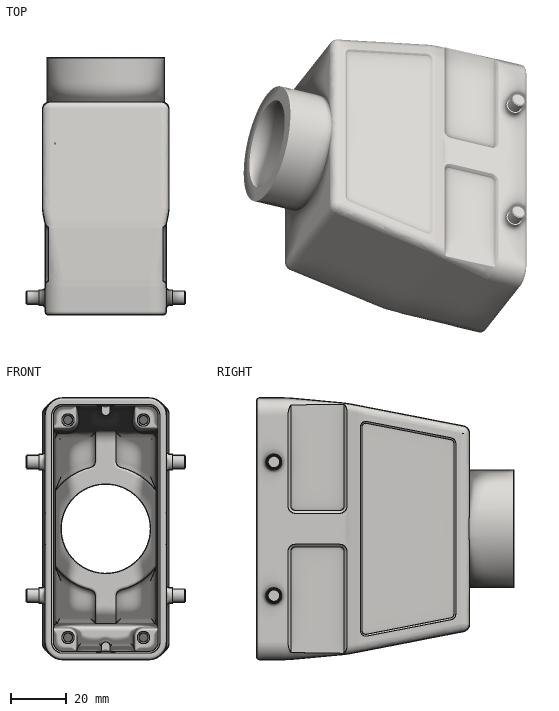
import cadquery as cq
import math


rim_half_x = 21.6
rim_half_z = 46.85
rim_corner = 6.2
bend_y = 11.2
waist_y = 32.3
waist_half_z = 44.9
flare_y = 37.3
back_y = 76.2
back_half_x = 22.7
back_half_z = 36.4
back_corner = 2.8
bend_blend = 1.4
flare_blend = 0.9
back_fillet = 2.8
rim_fillet = 1.1

collar_diameter = 42.2
collar_end_y = 92.0
bore_diameter = 31.9

wall = 2.7
mouth_half_x = 18.7
floor_half_x = 17.9
mouth_half_z = 43.85
mouth_corner = 3.5
mouth_chamfer = 0.7
floor_y = 73.5
floor_corner = 2.1
floor_fillet = 1.9

island_y = 70.3
island_ring_radius = 22.6
island_rib_width = 7.3
island_inner_fillet = 2.3
island_top_fillet = 0.9

post_y = 9.4
post_inner_x = 10.5
post_inner_z = 35.8
post_draft = 1.5
post_front_fillet = 0.75
screw_x = 13.5
screw_z = 38.9
screw_diameter = 3.2
screw_countersink_diameter = 4.4
screw_depth = 14.1
post_corner = screw_x - post_inner_x

block_y = 33.9
block_front_z = -34.95
block_floor_z = -33.8
block_edge_fillet = 1.7
block_root_fillet = 0.9

key_width = 3.2
key_tip_z = 40.5
scoop_radius = 11.2
scoop_rise = 0.7

pin_span = 57.0
pin_diameter = 4.9
pin_y = 6.2
pin_z = 23.9
pin_chamfer = 0.4
shoulder_diameter = 5.6
shoulder_end_x = 23.9
shoulder_fillet = 1.1

grip_depth = 1.2
grip_inner_z = 5.5
grip_corner = 1.6
grip_draft = 40.0
panel_depth = 0.5
panel_front_y = 37.7
panel_back_y = 70.6
panel_margin_z = 5.8
panel_corner = 1.4
panel_draft = 55.0


def blend(start, end, fraction):
    return start + (end - start) * fraction


def upper_half_z(y):
    """Half height of the outside between the waist and the back."""
    return blend(waist_half_z, back_half_z, (y - waist_y) / (back_y - waist_y))


def lower_half_z(y):
    """Half height of the outside between the rim band and the waist."""
    return blend(rim_half_z, waist_half_z, (y - bend_y) / (waist_y - bend_y))


def flare_half_x(y):
    """Half width of the outside between the waist and the flare."""
    return blend(rim_half_x, back_half_x, (y - waist_y) / (flare_y - waist_y))


def loft(sections):
    """Ruled solid through rounded rectangles given as (y, half_x, half_z, corner)."""
    wires = []
    for y, half_x, half_z, corner in sections:
        outline = cq.Workplane("XZ", origin=(0, y, 0)).rect(2 * half_x, 2 * half_z).wire().val()
        wires.append(outline.fillet2D(corner, outline.Vertices()))
    return cq.Workplane(cq.Solid.makeLoft(wires, True))


def mirrored(solid):
    """The solid together with its mirror images in X and in Z."""
    pair = solid.union(solid.mirror("YZ"))
    return pair.union(pair.mirror("XY"))


def edges_at(y, half_x, half_z):
    """Selector for the edges centred in a central window of the plane at depth y."""
    gap = 0.01
    return cq.selectors.BoxSelector((-half_x, y - gap, -half_z), (half_x, y + gap, half_z))


def hood():
    """Solid outside of the hood; each bend is softened by a narrow facet."""
    slope_start = bend_y + bend_blend
    slope_end = waist_y - bend_blend
    waist_end = waist_y + bend_blend
    flare_start = flare_y - flare_blend
    flare_end = flare_y + flare_blend
    waist_facet_z = (lower_half_z(slope_end) + upper_half_z(waist_end)) / 2
    body = loft([
        (0, rim_half_x, rim_half_z, rim_corner),
        (bend_y - bend_blend, rim_half_x, rim_half_z, rim_corner),
        (slope_start, rim_half_x, lower_half_z(slope_start), rim_corner),
        (slope_end, rim_half_x, lower_half_z(slope_end), back_corner),
        (waist_y, rim_half_x, waist_facet_z, back_corner),
        (waist_end, flare_half_x(waist_end), upper_half_z(waist_end), back_corner),
        (flare_start, flare_half_x(flare_start), upper_half_z(flare_start), back_corner),
        (flare_end, back_half_x, upper_half_z(flare_end), back_corner),
        (back_y, back_half_x, back_half_z, back_corner),
    ])
    body = body.faces(">Y").edges().fillet(back_fillet)
    body = body.faces("<Y").edges().fillet(rim_fillet)
    collar_length = collar_end_y - floor_y
    collar = cq.Workplane("XZ", origin=(0, floor_y, 0)).circle(collar_diameter / 2).extrude(-collar_length)
    return body.union(collar)


def island():
    """Raised ring and vertical rib around the bore, in front of the cavity floor."""
    plane = cq.Workplane("XZ", origin=(0, island_y, 0))
    depth = floor_y - island_y
    ring = plane.circle(island_ring_radius).extrude(-depth)
    rib = plane.rect(island_rib_width, 2 * rim_half_z).extrude(-depth)
    reach = island_ring_radius + 0.9
    joints = cq.selectors.BoxSelector(
        (-island_rib_width, 0, -reach), (island_rib_width, back_y, reach)
    )
    return ring.union(rib).edges("|Y").edges(joints).fillet(island_inner_fillet)


def cavity_space():
    """Empty inside of the hood with the rounded floor and island."""
    space = loft([
        (0, mouth_half_x + mouth_chamfer, mouth_half_z + mouth_chamfer, mouth_corner + mouth_chamfer),
        (mouth_chamfer, mouth_half_x, mouth_half_z, mouth_corner),
        (post_y, mouth_half_x, mouth_half_z, mouth_corner),
        (waist_y, mouth_half_x, waist_half_z - wall, mouth_corner),
        (floor_y, floor_half_x, upper_half_z(floor_y) - wall, floor_corner),
    ])
    space = space.cut(island())
    space = space.faces(">Y").edges().fillet(floor_fillet)
    top_rim = space.edges(edges_at(island_y, floor_half_x - 0.9, upper_half_z(island_y)))
    return top_rim.fillet(island_top_fillet)


def post():
    """Tapered corner post rounded about the screw; its outer sides lie beyond the cavity."""
    width = rim_half_x
    height = rim_half_z - post_inner_z + post_corner
    outline = cq.Sketch().rect(width, height).vertices().fillet(post_corner)
    center = (post_inner_x + width / 2, post_y, post_inner_z + height / 2)
    body = cq.Workplane("XZ", origin=center).placeSketch(outline).extrude(post_y - floor_y, taper=-post_draft)
    return body.faces("<Y").edges().fillet(post_front_fillet)


def block():
    """Block across the lower wall with a drafted top, a rounded front edge and a rounded foot."""
    base_z = -rim_half_z
    foot_y = floor_y - floor_fillet
    arc_drop = floor_fillet * math.sqrt(0.5)
    body = (
        cq.Workplane("YZ")
        .moveTo(block_y, base_z)
        .lineTo(block_y, block_front_z)
        .lineTo(foot_y, block_floor_z)
        .threePointArc(
            (foot_y + arc_drop, block_floor_z + floor_fillet - arc_drop),
            (floor_y, block_floor_z + floor_fillet),
        )
        .lineTo(floor_y, base_z)
        .close()
        .extrude(rim_half_x, both=True)
    )
    front_edge = cq.selectors.NearestToPointSelector((0, block_y, block_front_z))
    return body.edges(front_edge).fillet(block_edge_fillet)


def key():
    """Guide key with a round tip that hangs from the upper wall."""
    plane = cq.Workplane("XZ", origin=(0, post_y, 0))
    length = floor_y - post_y
    tip_center_z = key_tip_z + key_width / 2
    tip = plane.center(0, tip_center_z).circle(key_width / 2).extrude(-length)
    stem = (
        plane.center(0, (tip_center_z + rim_half_z) / 2)
        .rect(key_width, rim_half_z - tip_center_z)
        .extrude(-length)
    )
    return tip.union(stem)


def scoop():
    """Shallow conical scoop in the mouth wall that runs out at the key."""
    axis_z = mouth_half_z + scoop_rise - scoop_radius
    cone = cq.Solid.makeCone(
        scoop_radius,
        scoop_radius - scoop_rise,
        post_y,
        pnt=cq.Vector(0, 0, axis_z),
        dir=cq.Vector(0, 1, 0),
    )
    return cq.Workplane(cone)


def screw_hole():
    """Blind countersunk hole in the front of a post."""
    plane = cq.Workplane("XZ", origin=(screw_x, post_y, screw_z))
    hole = plane.circle(screw_diameter / 2).extrude(-screw_depth)
    countersink = cq.Solid.makeCone(
        screw_countersink_diameter / 2,
        screw_diameter / 2,
        (screw_countersink_diameter - screw_diameter) / 2,
        pnt=cq.Vector(screw_x, post_y, screw_z),
        dir=cq.Vector(0, 1, 0),
    )
    return hole.union(cq.Workplane(countersink))


def cavity():
    """Everything that is hollow inside the hood, apart from the bore."""
    keys = key().union(key().mirror("XY"))
    scoops = scoop().union(scoop().mirror("XY"))
    space = cavity_space().cut(mirrored(post())).cut(block()).cut(keys)
    space = space.edges(edges_at(block_y, rim_half_x, rim_half_z)).fillet(block_root_fillet)
    space = space.union(scoops)
    return space.union(mirrored(screw_hole()))


def grip_recess():
    """Recess with sloping sides that runs out through the rounded edge of the hood."""
    spread = grip_depth * math.tan(math.radians(grip_draft))
    low_z = grip_inner_z + spread
    width = waist_y - bend_y - 2 * spread
    height = rim_half_z + 2 * grip_corner - low_z
    plane = cq.Workplane("YZ", origin=(rim_half_x - grip_depth, (bend_y + waist_y) / 2, low_z + height / 2))
    outline = cq.Sketch().rect(width, height).vertices().fillet(grip_corner)
    return plane.placeSketch(outline).extrude(2 * grip_depth, taper=-grip_draft)


def panel_recess():
    """Shallow recess whose upper and lower sides follow the slope of the hood."""
    front_z = upper_half_z(panel_front_y) - panel_margin_z
    rear_z = upper_half_z(panel_back_y) - panel_margin_z
    corners = [
        (panel_front_y, front_z),
        (panel_back_y, rear_z),
        (panel_back_y, -rear_z),
        (panel_front_y, -front_z),
    ]
    outline = cq.Sketch().polygon(corners + corners[:1]).vertices().fillet(panel_corner)
    plane = cq.Workplane("YZ", origin=(back_half_x - panel_depth, 0, 0))
    return plane.placeSketch(outline).extrude(2 * panel_depth, taper=-panel_draft)


def pin():
    """Locking pin with a shoulder and a rounded root, turned about its own axis."""
    root_x = rim_half_x
    buried_x = root_x - 0.9
    tip_x = pin_span / 2
    pin_radius = pin_diameter / 2
    shoulder_radius = shoulder_diameter / 2
    root_radius = shoulder_radius + shoulder_fillet
    bulge = shoulder_fillet * (1 - math.sqrt(0.5))
    profile = (
        cq.Workplane("XY")
        .moveTo(buried_x, 0)
        .lineTo(buried_x, root_radius)
        .lineTo(root_x, root_radius)
        .threePointArc(
            (root_x + bulge, shoulder_radius + bulge),
            (root_x + shoulder_fillet, shoulder_radius),
        )
        .lineTo(shoulder_end_x, shoulder_radius)
        .lineTo(shoulder_end_x, pin_radius)
        .lineTo(tip_x - pin_chamfer, pin_radius)
        .lineTo(tip_x, pin_radius - pin_chamfer)
        .lineTo(tip_x, 0)
        .close()
    )
    return profile.revolve(360, (0, 0, 0), (1, 0, 0)).translate((0, pin_y, pin_z))


shell = hood().cut(cavity())
result = shell.union(mirrored(pin())).cut(mirrored(grip_recess()))
panel = panel_recess()
result = result.cut(panel).cut(panel.mirror("YZ"))
bore = cq.Workplane("XZ").circle(bore_diameter / 2).extrude(-collar_end_y)
result = result.cut(bore)